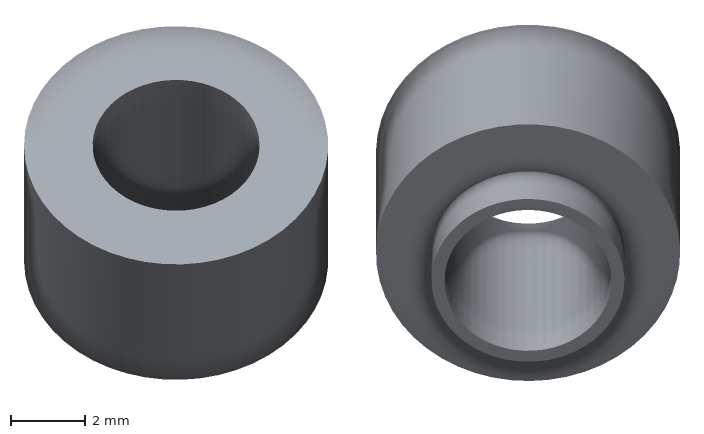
import cadquery as cq

body_diameter = 8.2
spigot_diameter = 5.2
bore_diameter = 4.5
total_height = 6.4
body_height = 5.0
spigot_height = total_height - body_height

spigot = cq.Workplane("XY").circle(spigot_diameter / 2).extrude(spigot_height)

spacer = spigot.faces(">Z").workplane().circle(body_diameter / 2).extrude(body_height)

result = spacer.faces(">Z").workplane().hole(bore_diameter)